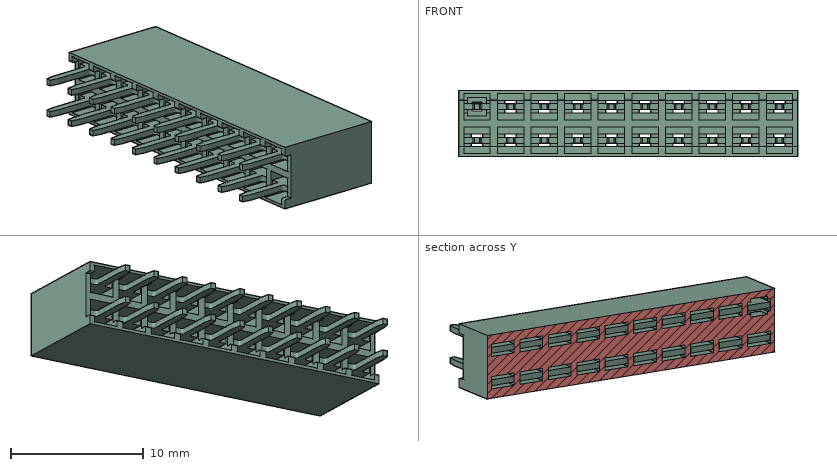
import cadquery as cq

length = 25.65
height = 5.0
depth = 8.5
standoff = 0.6
foot_height = 0.75
foot_round = 0.15

columns = 10
rows = 2
pitch = 2.54

cell_size = 2.0
cell_floor = 3.0
slot_height = 0.93
slot_floor = 5.0
window_width = 0.85

marked_recess_width = 1.47
marked_recess_height = 1.39
marked_recess_floor = 6.5
marked_window_width = 0.75
marked_window_height = 0.65

contact_thickness = 0.46
plate_front = 0.76
plate_back = 4.0
pin_width = 0.64
pin_tip_width = 0.4
pin_reach = 3.15
pin_taper = 0.7
pin_root_radius = 0.18


def block(width, tall, y_start, y_end, x=0.0, z=0.0):
    """Box centred on (x, z) that spans y_start to y_end."""
    box = cq.Workplane("XY").box(width, y_end - y_start, tall, centered=(True, False, True))
    return box.translate((x, y_start, z))


def make_housing():
    """Outer block with a rounded recess that leaves a foot along each long edge."""
    recess = block(length, height - 2 * foot_height, 0, standoff)
    body = block(length, height, 0, depth).cut(recess)
    inner_foot_edges = cq.selectors.BoxSelector(
        (-length, -foot_round / 2, -height / 2 + foot_height / 2),
        (length, foot_round / 2, height / 2 - foot_height / 2),
    )
    return body.edges("|X").edges(inner_foot_edges).fillet(foot_round)


def make_cell(x, z, marked):
    """Stepped cavity of one contact, open from the board side to the mating face."""
    cell = block(cell_size, cell_size, 0, cell_floor, x, z)
    slot = block(cell_size, slot_height, 0, slot_floor, x, z)
    cavity = cell.union(slot)
    if marked:
        recess = block(marked_recess_width, marked_recess_height, 0, marked_recess_floor, x, z)
        window = block(marked_window_width, marked_window_height, 0, depth, x, z)
        return cavity.union(recess).union(window)
    return cavity.union(block(window_width, slot_height, 0, depth, x, z))


def make_contact(x, z):
    """Flat contact: a plate as wide as the cell and a tapered solder pin."""
    half_plate = cell_size / 2
    half_pin = pin_width / 2
    half_tip = pin_tip_width / 2
    root = pin_root_radius
    outline = (
        cq.Workplane("XY")
        .moveTo(-half_plate, plate_back)
        .lineTo(-half_plate, plate_front)
        .lineTo(-half_pin - root, plate_front)
        .radiusArc((-half_pin, plate_front - root), root)
        .lineTo(-half_pin, -pin_reach + pin_taper)
        .lineTo(-half_tip, -pin_reach)
        .lineTo(half_tip, -pin_reach)
        .lineTo(half_pin, -pin_reach + pin_taper)
        .lineTo(half_pin, plate_front - root)
        .radiusArc((half_pin + root, plate_front), root)
        .lineTo(half_plate, plate_front)
        .lineTo(half_plate, plate_back)
        .close()
    )
    return outline.extrude(contact_thickness / 2, both=True).translate((x, 0, z))


result = make_housing()
for column in range(columns):
    for row in range(rows):
        cell_x = (column - (columns - 1) / 2) * pitch
        cell_z = (row - (rows - 1) / 2) * pitch
        is_marked = column == 0 and row == rows - 1
        result = result.cut(make_cell(cell_x, cell_z, is_marked))
        result = result.union(make_contact(cell_x, cell_z))